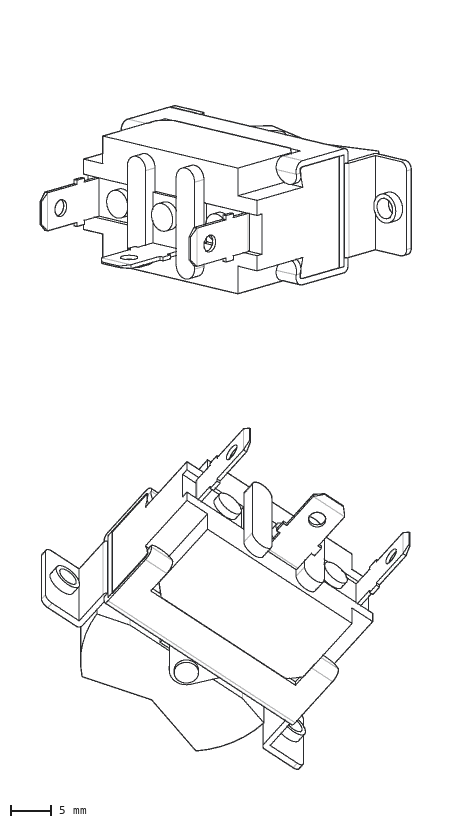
import cadquery as cq
import math


HOUSING_LENGTH = 28.8
HOUSING_WIDTH = 14.2
HOUSING_HEIGHT = 15.73
SEAT_LENGTH = 29.0
SEAT_THICKNESS = 0.8
BULGE_LENGTH = 22.4
BULGE_WIDTH = 16.0
BULGE_HEIGHT = 11.3
BULGE_CHAMFER = 1.5
NOTCH_HALF_WIDTH = 4.48
RIB_LENGTH = 14.1
RIB_WIDTH = 3.05
RIB_HEIGHT = 1.7
RIB_OFFSET = 4.05
RECESS_WIDTH = 5.12
RECESS_DEPTH = 0.85
RECESS_INNER_X = 5.6

PIVOT_Y = 18.8
ROCKER_RADIUS = 13.0
ROCKER_WIDTH = 8.1
ROCKER_TIP_X = 8.84
ROCKER_TIP_Y = PIVOT_Y + math.sqrt(ROCKER_RADIUS**2 - ROCKER_TIP_X**2)
ROCKER_VALLEY_Y = 25.78
ROCKER_CORNER_Y = 20.0
ROCKER_FLAT_HALF = 8.7
NECK_LENGTH = 8.1
NECK_WIDTH = 7.0
PIN_DIAMETER = 3.0
PIN_LENGTH = 13.1

SHEET = 0.8
FRAME_LENGTH = SEAT_LENGTH
FRAME_WIDTH = HOUSING_WIDTH + 2 * SHEET
FRAME_TOP = HOUSING_HEIGHT + SHEET
FRAME_SKIRT_Y = BULGE_HEIGHT + 0.1
CLAW_ANGLE = 14.0
CLAW_BEND_INNER = 0.4
CLAW_BEND_OUTER = CLAW_BEND_INNER + SHEET
CLAW_BEND_Y = 8.2
CLAW_BEND_Z = FRAME_WIDTH / 2 - CLAW_BEND_OUTER
CLAW_TIP_Z = 4.75
CLAW_INNER_X = BULGE_LENGTH / 2
CLAW_LENGTH = FRAME_LENGTH / 2 - CLAW_INNER_X
LUG_WIDTH = NECK_LENGTH
LUG_RADIUS = 2.1
LUG_SHOULDER_Y = 16.95
LUG_OUTER_Z = 6.0
EAR_WIDTH = 12.0
EAR_SHEET = 0.74
EAR_OUTER_X = 14.8
EAR_END_X = 20.0
EAR_TOP_Y = 22.0
EAR_FLANGE = 0.85
EAR_BEND_RADIUS = 0.5
EAR_FOOT_RADIUS = 0.65
EAR_CORNER_RADIUS = 1.0
COLLAR_X = 17.5
COLLAR_DIAMETER = 3.65
COLLAR_HEIGHT = 1.25
SCREW_HOLE = 2.55

TERMINAL_SHEET = 0.5
TERMINAL_WIDTH = 4.86
TERMINAL_BEND_RADIUS = 0.49
BLADE_OFFSET = 4.4
BASE_TAIL = 2.55
BLADE_LENGTH = 10.89
TIP_LENGTH = 1.0
TIP_WIDTH = 2.9
TIP_THICKNESS = 0.2
STOP_WIDTH = 5.9
STOP_NEAR = 3.17
STOP_LENGTH = 1.38
BLADE_HOLE = 2.1
BLADE_HOLE_Y = 7.5
RIVET_DIAMETER = 3.5
RIVET_HEIGHT = 1.0
SIDE_TERMINAL_X = 8.2


def box(x_range, y_range, z_range):
    """Box spanning the given (low, high) limits on each axis."""
    spans = [high - low for low, high in (x_range, y_range, z_range)]
    corner = (x_range[0], y_range[0], z_range[0])
    return cq.Workplane("XY").box(*spans, centered=False).translate(corner)


def centred_box(length, y_range, width):
    """Box centred on X and Z."""
    return box((-length / 2, length / 2), y_range, (-width / 2, width / 2))


def mirrored(shape, plane):
    """The shape together with its mirror image."""
    return shape.union(shape.mirror(plane))


def bend_point(radius, angle):
    """Point (y, z) on a claw bend, with the angle measured from +Z toward -Y."""
    turn = math.radians(angle)
    return CLAW_BEND_Y - radius * math.sin(turn), CLAW_BEND_Z + radius * math.cos(turn)


def slant_point(radius, z):
    """Point (y, z) on the straight part of a claw that leaves its bend at this radius."""
    y_start, z_start = bend_point(radius, 90 + CLAW_ANGLE)
    return y_start + (z_start - z) * math.tan(math.radians(CLAW_ANGLE)), z


def make_rocker():
    """Rocker paddle with its neck and pivot pin."""
    corner_x = math.sqrt(ROCKER_RADIUS**2 - (ROCKER_CORNER_Y - PIVOT_Y) ** 2)
    start_angle = math.atan2(ROCKER_CORNER_Y - PIVOT_Y, corner_x)
    end_angle = math.atan2(ROCKER_TIP_Y - PIVOT_Y, ROCKER_TIP_X)
    middle = (start_angle + end_angle) / 2
    arc_x = ROCKER_RADIUS * math.cos(middle)
    arc_y = PIVOT_Y + ROCKER_RADIUS * math.sin(middle)
    paddle = (
        cq.Workplane("XY")
        .moveTo(-ROCKER_FLAT_HALF, PIVOT_Y)
        .lineTo(ROCKER_FLAT_HALF, PIVOT_Y)
        .lineTo(corner_x, ROCKER_CORNER_Y)
        .threePointArc((arc_x, arc_y), (ROCKER_TIP_X, ROCKER_TIP_Y))
        .lineTo(0, ROCKER_VALLEY_Y)
        .lineTo(-ROCKER_TIP_X, ROCKER_TIP_Y)
        .threePointArc((-arc_x, arc_y), (-corner_x, ROCKER_CORNER_Y))
        .close()
        .extrude(ROCKER_WIDTH / 2, both=True)
    )
    neck = centred_box(NECK_LENGTH, (HOUSING_HEIGHT - SEAT_THICKNESS, PIVOT_Y + 1), NECK_WIDTH)
    pin = (
        cq.Workplane("XY")
        .center(0, PIVOT_Y)
        .circle(PIN_DIAMETER / 2)
        .extrude(PIN_LENGTH / 2, both=True)
    )
    return paddle.union(neck).union(pin)


def make_claw_notch():
    """Material removed from one housing corner so that a claw can hook in."""
    return (
        cq.Workplane("YZ")
        .moveTo(0, NOTCH_HALF_WIDTH)
        .lineTo(*slant_point(CLAW_BEND_INNER, NOTCH_HALF_WIDTH))
        .lineTo(*bend_point(CLAW_BEND_INNER, 90 + CLAW_ANGLE))
        .threePointArc(bend_point(CLAW_BEND_INNER, 45), bend_point(CLAW_BEND_INNER, 0))
        .lineTo(CLAW_BEND_Y, HOUSING_WIDTH)
        .lineTo(0, HOUSING_WIDTH)
        .close()
        .extrude(HOUSING_LENGTH / 2 - CLAW_INNER_X)
        .translate((CLAW_INNER_X, 0, 0))
    )


def make_housing():
    """Housing, moulded with the rocker as one piece."""
    core = centred_box(HOUSING_LENGTH, (0, HOUSING_HEIGHT), HOUSING_WIDTH)
    seat = centred_box(SEAT_LENGTH, (HOUSING_HEIGHT - SEAT_THICKNESS, HOUSING_HEIGHT), HOUSING_WIDTH)
    notches = mirrored(mirrored(make_claw_notch(), "XY"), "YZ")
    bulge = centred_box(BULGE_LENGTH, (0, BULGE_HEIGHT), BULGE_WIDTH)
    bulge = bulge.faces(">Y").edges("|Z").chamfer(BULGE_CHAMFER)
    ribs = (
        cq.Workplane("XZ")
        .pushPoints([(-RIB_OFFSET, 0), (RIB_OFFSET, 0)])
        .slot2D(RIB_LENGTH, RIB_WIDTH, 90)
        .extrude(RIB_HEIGHT)
    )
    recess = box(
        (RECESS_INNER_X, HOUSING_LENGTH / 2),
        (0, RECESS_DEPTH),
        (-RECESS_WIDTH / 2, RECESS_WIDTH / 2),
    )
    body = core.union(seat).cut(notches).union(bulge)
    body = body.cut(mirrored(recess, "YZ")).union(ribs)
    return body.union(make_rocker())


def make_claw():
    """One claw: side wall, bend and hooked end with a rounded tip."""
    outer_tip = slant_point(CLAW_BEND_OUTER, CLAW_TIP_Z)
    inner_tip = slant_point(CLAW_BEND_INNER, CLAW_TIP_Z)
    claw = (
        cq.Workplane("YZ")
        .moveTo(FRAME_SKIRT_Y, FRAME_WIDTH / 2)
        .lineTo(*bend_point(CLAW_BEND_OUTER, 0))
        .threePointArc(
            bend_point(CLAW_BEND_OUTER, 45), bend_point(CLAW_BEND_OUTER, 90 + CLAW_ANGLE)
        )
        .lineTo(*outer_tip)
        .lineTo(*inner_tip)
        .lineTo(*bend_point(CLAW_BEND_INNER, 90 + CLAW_ANGLE))
        .threePointArc(bend_point(CLAW_BEND_INNER, 45), bend_point(CLAW_BEND_INNER, 0))
        .lineTo(FRAME_SKIRT_Y, HOUSING_WIDTH / 2)
        .close()
        .extrude(CLAW_LENGTH)
        .translate((CLAW_INNER_X, 0, 0))
    )
    tip_radius = CLAW_LENGTH / 2
    claw_outline = (
        cq.Workplane("XZ")
        .moveTo(CLAW_INNER_X, FRAME_WIDTH / 2)
        .lineTo(CLAW_INNER_X, CLAW_TIP_Z + tip_radius)
        .threePointArc(
            (CLAW_INNER_X + tip_radius, CLAW_TIP_Z),
            (FRAME_LENGTH / 2, CLAW_TIP_Z + tip_radius),
        )
        .lineTo(FRAME_LENGTH / 2, FRAME_WIDTH / 2)
        .close()
        .extrude(-FRAME_TOP)
    )
    return claw.intersect(claw_outline)


def make_lug():
    """Pivot lug: tapers from the plate to a round end about the pin."""
    rise = PIVOT_Y - LUG_SHOULDER_Y
    half = LUG_WIDTH / 2
    tangent = math.acos(LUG_RADIUS / math.hypot(half, rise)) - math.atan2(rise, half)
    tangent_x = LUG_RADIUS * math.cos(tangent)
    tangent_y = PIVOT_Y + LUG_RADIUS * math.sin(tangent)
    return (
        cq.Workplane("XY")
        .workplane(offset=LUG_OUTER_Z - SHEET)
        .moveTo(-half, HOUSING_HEIGHT)
        .lineTo(half, HOUSING_HEIGHT)
        .lineTo(half, LUG_SHOULDER_Y)
        .lineTo(tangent_x, tangent_y)
        .threePointArc((0, PIVOT_Y + LUG_RADIUS), (-tangent_x, tangent_y))
        .lineTo(-half, LUG_SHOULDER_Y)
        .close()
        .extrude(SHEET)
        .cut(
            cq.Workplane("XY")
            .center(0, PIVOT_Y)
            .circle(PIN_DIAMETER / 2)
            .extrude(LUG_OUTER_Z)
        )
    )


def make_ear():
    """Mounting ear at the +X end: upright, flange and screw collar."""
    inner_x = EAR_OUTER_X - EAR_SHEET
    span = (-EAR_WIDTH / 2, EAR_WIDTH / 2)
    upright = box((inner_x, EAR_OUTER_X), (HOUSING_HEIGHT, EAR_TOP_Y), span)
    upright = upright.edges("|Z and >X and <Y").fillet(EAR_FOOT_RADIUS)
    flange = box((inner_x, EAR_END_X), (EAR_TOP_Y - EAR_FLANGE, EAR_TOP_Y), span)
    flange = flange.edges("|Y and >X").fillet(EAR_CORNER_RADIUS)
    ear = upright.union(flange).edges("|Z and <X and >Y").fillet(EAR_BEND_RADIUS)
    collar_axis = cq.Workplane("XZ", origin=(COLLAR_X, EAR_TOP_Y, 0))
    collar_reach = EAR_FLANGE + COLLAR_HEIGHT
    collar = collar_axis.circle(COLLAR_DIAMETER / 2).extrude(collar_reach)
    hole = collar_axis.circle(SCREW_HOLE / 2).extrude(collar_reach)
    return ear.union(collar).cut(hole)


def make_frame():
    """Sheet metal frame: plate, side walls, claws, pivot lugs and mounting ears."""
    frame = centred_box(FRAME_LENGTH, (FRAME_SKIRT_Y, FRAME_TOP), FRAME_WIDTH)
    frame = frame.faces(">Y").edges("|X").fillet(SHEET)
    frame = frame.cut(centred_box(FRAME_LENGTH, (FRAME_SKIRT_Y, HOUSING_HEIGHT), HOUSING_WIDTH))
    frame = frame.cut(centred_box(NECK_LENGTH, (HOUSING_HEIGHT, FRAME_TOP), NECK_WIDTH))
    frame = frame.union(mirrored(make_lug(), "XY"))
    frame = frame.union(mirrored(make_ear(), "YZ"))
    return frame.union(mirrored(mirrored(make_claw(), "XY"), "YZ"))


def make_terminal():
    """Blade terminal seated on Y = 0, rivet at the origin, blade toward -X."""
    blade_tip = -BLADE_LENGTH
    blade_x = -BLADE_OFFSET + TERMINAL_SHEET / 2
    half_sheet = TERMINAL_SHEET / 2
    half_tip = TIP_THICKNESS / 2
    side_profile = (
        cq.Workplane("XY")
        .moveTo(BASE_TAIL, 0)
        .lineTo(-BLADE_OFFSET + TERMINAL_BEND_RADIUS, 0)
        .radiusArc((-BLADE_OFFSET, -TERMINAL_BEND_RADIUS), -TERMINAL_BEND_RADIUS)
        .lineTo(blade_x - half_sheet, blade_tip + TIP_LENGTH)
        .lineTo(blade_x - half_tip, blade_tip)
        .lineTo(blade_x + half_tip, blade_tip)
        .lineTo(blade_x + half_sheet, blade_tip + TIP_LENGTH)
        .lineTo(blade_x + half_sheet, -TERMINAL_SHEET)
        .lineTo(BASE_TAIL, -TERMINAL_SHEET)
        .close()
        .extrude(TERMINAL_WIDTH / 2, both=True)
    )
    width_profile = (
        cq.Workplane("YZ")
        .polyline([
            (0, TERMINAL_WIDTH / 2),
            (blade_tip + TIP_LENGTH, TERMINAL_WIDTH / 2),
            (blade_tip, TIP_WIDTH / 2),
            (blade_tip, -TIP_WIDTH / 2),
            (blade_tip + TIP_LENGTH, -TERMINAL_WIDTH / 2),
            (0, -TERMINAL_WIDTH / 2),
        ])
        .close()
        .extrude(BLADE_OFFSET + BASE_TAIL)
        .translate((-BLADE_OFFSET, 0, 0))
    )
    stops = box(
        (-BLADE_OFFSET, -BLADE_OFFSET + TERMINAL_SHEET),
        (-STOP_NEAR - STOP_LENGTH, -STOP_NEAR),
        (-STOP_WIDTH / 2, STOP_WIDTH / 2),
    )
    hole = (
        cq.Workplane("YZ", origin=(-BLADE_OFFSET, -BLADE_HOLE_Y, 0))
        .circle(BLADE_HOLE / 2)
        .extrude(TERMINAL_SHEET)
    )
    rivet = cq.Workplane("XZ").circle(RIVET_DIAMETER / 2).extrude(TERMINAL_SHEET + RIVET_HEIGHT)
    return side_profile.intersect(width_profile).union(stops).union(rivet).cut(hole)


def make_terminals():
    """Two side terminals in the recesses and a middle one on the housing face."""
    placements = [
        (0, -SIDE_TERMINAL_X, RECESS_DEPTH),
        (180, SIDE_TERMINAL_X, RECESS_DEPTH),
        (-90, 0, 0),
    ]
    return [
        make_terminal().rotate((0, 0, 0), (0, 1, 0), turn).translate((x, y, 0))
        for turn, x, y in placements
    ]


housing = make_housing()
frame = make_frame()
terminals = make_terminals()

result = cq.Compound.makeCompound([
    housing.val(),
    frame.val(),
    *[terminal.val() for terminal in terminals],
])